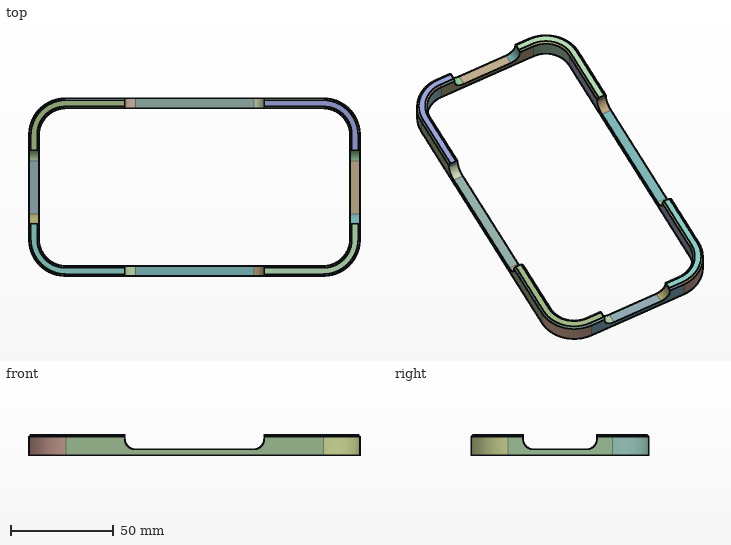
import cadquery as cq

LENGTH = 162.0
WIDTH = 87.0
HEIGHT = 10.0
WALL = 5.0
OUTER_RADIUS = 18.0
RIM_CHAMFER = 1.0

NOTCH_FLOOR = 3.0
NOTCH_RADIUS = 5.0
LONG_SIDE_NOTCH = 68.0
SHORT_SIDE_NOTCH = 36.0


def rounded_block(length, width, radius):
    """Full-height block with rounded vertical edges, standing on Z = 0."""
    block = cq.Workplane("XY").rect(length, width).extrude(HEIGHT)
    return block.edges("|Z").fillet(radius)


def make_frame():
    """Rounded rectangular ring with its top edges chamfered."""
    outer = rounded_block(LENGTH, WIDTH, OUTER_RADIUS)
    inner = rounded_block(LENGTH - 2 * WALL, WIDTH - 2 * WALL, OUTER_RADIUS - WALL)
    return outer.cut(inner).faces(">Z").edges().chamfer(RIM_CHAMFER)


def notch_cutter(plane, notch_width, span):
    """Round-bottomed cutter running through both opposite sides of the frame."""
    half_width = notch_width / 2
    half_floor = half_width - NOTCH_RADIUS
    arc_top = NOTCH_FLOOR + NOTCH_RADIUS
    profile = (
        cq.Workplane(plane)
        .moveTo(-half_width, HEIGHT)
        .lineTo(-half_width, arc_top)
        .radiusArc((-half_floor, NOTCH_FLOOR), -NOTCH_RADIUS)
        .lineTo(half_floor, NOTCH_FLOOR)
        .radiusArc((half_width, arc_top), -NOTCH_RADIUS)
        .lineTo(half_width, HEIGHT)
        .close()
    )
    return profile.extrude(span / 2, both=True)


result = (
    make_frame()
    .cut(notch_cutter("XZ", LONG_SIDE_NOTCH, WIDTH))
    .cut(notch_cutter("YZ", SHORT_SIDE_NOTCH, LENGTH))
)